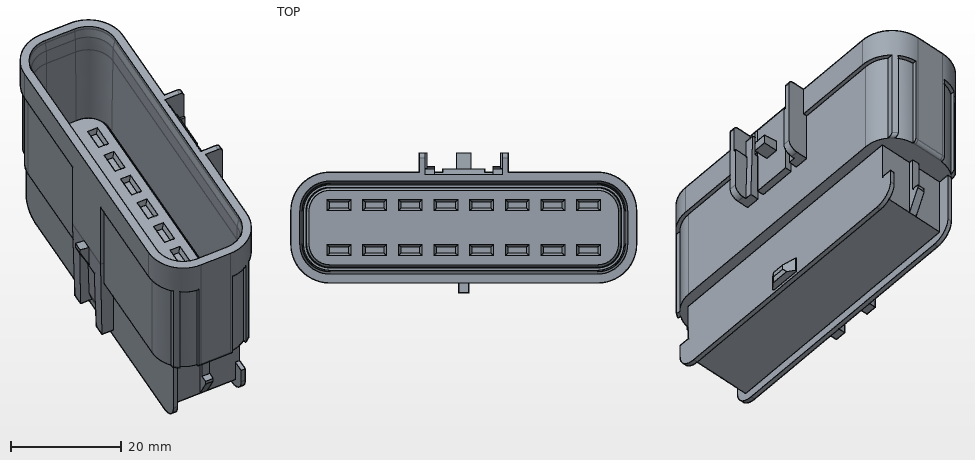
import cadquery as cq


length = 62.8
total_depth = 43.4
collar_width = 20.15
collar_radius = 7.1
collar_depth = 6.6

shell_inset = 0.75
shell_depth = 27.95
shell_front_y = -(collar_width / 2 - shell_inset)

end_panel_width = 6.9
corner_rib_y = 7.2
corner_rib_width = 0.95
rib_end_radius = 0.7

lip_section = (0.0, 1.65)
lip_foot_section = (0.6, 1.7)
lead_in_section = (2.5, 2.0)
draft_start_section = (5.9, 2.1)
wall_foot_section = (25.75, 2.3)
cavity_sections = (lip_section, lip_foot_section, lead_in_section, draft_start_section, wall_foot_section)

island_foot_inset = 2.75
island_shoulder_inset = 2.9
island_top_inset = 3.3
island_height = 2.5
island_chamfer_height = 0.55
island_top_depth = wall_foot_section[0] - island_height

pocket_columns = 8
pocket_pitch = 6.45
pocket_row_y = 4.1
pocket_mouth = (4.35, 2.0)
pocket_floor = (3.4, 1.1)
pocket_depth = 1.0

body_length = 53.25
body_width = 14.75
body_depth = 41.3
plate_length = 57.8
plate_thickness = 0.9
plate_radius = 3.75
rear_plate_top_depth = 36.55

rail_top_width = 11.0
rail_foot_width = 10.7
rail_front_y = -collar_width / 2
rail_taper_depth = 22.2
rail_foot_depth = 41.9
rail_draft = 0.4
recess_top_width = 5.7
recess_foot_width = 6.1
recess_top_depth = 27.4
recess_ceiling_drop = 0.55
recess_floor_top_y = -8.35
recess_floor_foot_y = -8.0
foot_ramp_depth = 39.8

tooth_width = 1.8
tooth_tip_y = -11.9
tooth_tip_top_depth = 22.0
tooth_tip_foot_depth = 23.05
tooth_ramp_foot_depth = 27.0

end_rib_width = 1.6
end_rib_projection = 0.9
end_tooth_depth = 35.75
end_tooth_height = 0.75

guide_back_y = 13.55
guide_outer_x = 8.1
guide_thickness = 1.05
guide_foot_thickness = 1.45
guide_foot_top_depth = collar_depth
guide_depth = 17.95
guide_top_radius = 0.95
guide_foot_radius = 1.9
guide_inner_x = guide_outer_x - guide_thickness

rear_ramp_y = 9.7
pad_width = 7.65
pad_back_y = 10.7
pad_ramp_depth = 1.75
tab_width = 2.65
tab_top_depth = 8.8
tab_drop = 0.45
tab_thickness = 2.5
web_inner_x = 5.3
web_top_back_y = 10.6
web_foot_back_y = 11.05
web_top_depth = 1.9
web_drop = 0.2

nub_base_width = 6.3
nub_tip_width = 2.5
nub_rim = 0.3
nub_back_y = 9.1
nub_top_depth = 39.1
nub_tip_top_depth = 40.7
nub_tip_foot_depth = 41.8
nub_foot_depth = 42.65
nub_foot_bevel = 0.45

overlap = 0.6


def box(x_range, y_range, depth_range):
    """Box between pairs of X and Y limits and a top and bottom depth."""
    (x0, x1), (y0, y1), (top, bottom) = x_range, y_range, depth_range
    return cq.Workplane("XY").box(x1 - x0, y1 - y0, bottom - top, centered=False).translate((x0, y0, -bottom))


def centred(width, middle=0.0):
    """Pair of limits that lie evenly about a middle."""
    return (middle - width / 2, middle + width / 2)


def outline(inset, depth):
    """Rounded-rectangle face that follows the collar at an inset, at a depth."""
    sketch = (
        cq.Sketch()
        .rect(length - 2 * inset, collar_width - 2 * inset)
        .vertices()
        .fillet(collar_radius - inset)
    )
    return cq.Workplane("XY").workplane(offset=-depth).placeSketch(sketch)


def prism(inset, top, bottom):
    """Straight block with the collar's outline at an inset."""
    return outline(inset, bottom).extrude(bottom - top)


def taper(upper, lower):
    """Block whose outline changes evenly between two (depth, inset) sections."""
    (top, top_inset), (bottom, bottom_inset) = upper, lower
    upper_wire = outline(top_inset, top).extrude(0.6).faces("<Z").wires().val()
    lower_wire = outline(bottom_inset, bottom).extrude(0.6).faces("<Z").wires().val()
    return cq.Workplane(cq.Solid.makeLoft([lower_wire, upper_wire], True))


def side_profile(points, width, middle=0.0):
    """Block with a (Y, depth) profile, evenly wide in X about a middle."""
    profile = [(y, -depth) for y, depth in points]
    block = cq.Workplane("YZ").polyline(profile).close().extrude(width / 2, both=True)
    return block.translate((middle, 0, 0))


def front_profile(points, y_range):
    """Block with an (X, depth) profile between two Y limits."""
    profile = [(x, -depth) for x, depth in points]
    y0, y1 = y_range
    return cq.Workplane("XZ", origin=(0, y1, 0)).polyline(profile).close().extrude(y1 - y0)


def mirrored(shape):
    """A shape joined with its mirror image across X = 0."""
    return shape.union(shape.mirror("YZ"))


def shell():
    """Collar and shell with end panels and corner ribs that round off at their feet."""
    flush = prism(0, 0, shell_depth).faces("<Z").edges().fillet(rib_end_radius)
    x_range = centred(length)
    depth_range = (0, shell_depth)
    ribs = box(x_range, centred(end_panel_width), depth_range)
    for side in (-1, 1):
        ribs = ribs.union(box(x_range, centred(corner_rib_width, side * corner_rib_y), depth_range))
    return prism(0, 0, collar_depth).union(prism(shell_inset, 0, shell_depth)).union(flush.intersect(ribs))


def plate(y_range, top):
    """Upright plate of the lower body with rounded bottom corners."""
    blank = box(centred(plate_length), y_range, (top, total_depth))
    return blank.faces("<Z").edges("|Y").fillet(plate_radius)


def lower_body():
    """Solid lower body between a tall front plate and a short rear plate."""
    half = body_width / 2
    core = box(centred(body_length), centred(body_width), (island_top_depth + overlap, body_depth))
    front = plate((-half, -half + plate_thickness), shell_depth - overlap)
    rear = plate((half - plate_thickness, half), rear_plate_top_depth)
    return core.union(front).union(rear)


def front_rail():
    """Rail down the front, slightly drafted below its upper part, with an open recess."""
    inner_y = -body_width / 2 + overlap
    side = side_profile(
        [
            (inner_y, collar_depth),
            (rail_front_y, collar_depth),
            (rail_front_y, rail_taper_depth),
            (rail_front_y + rail_draft, rail_foot_depth),
            (inner_y, rail_foot_depth),
        ],
        rail_top_width,
    )
    top_half, foot_half = rail_top_width / 2, rail_foot_width / 2
    face = front_profile(
        [
            (-top_half, collar_depth),
            (top_half, collar_depth),
            (top_half, rail_taper_depth),
            (foot_half, rail_foot_depth),
            (-foot_half, rail_foot_depth),
            (-top_half, rail_taper_depth),
        ],
        (rail_front_y, inner_y),
    )
    return side.intersect(face)


def recess():
    """Recess through the foot of the front rail, with a ramp at its foot that ends on the front plate."""
    top_half, foot_half = recess_top_width / 2, recess_foot_width / 2
    plate_y = -body_width / 2
    face = front_profile(
        [
            (-top_half, recess_top_depth),
            (top_half, recess_top_depth),
            (foot_half, rail_foot_depth),
            (-foot_half, rail_foot_depth),
        ],
        (rail_front_y - overlap, plate_y),
    )
    side = side_profile(
        [
            (rail_front_y - overlap, recess_top_depth),
            (rail_front_y, recess_top_depth),
            (recess_floor_top_y, recess_top_depth + recess_ceiling_drop),
            (recess_floor_foot_y, foot_ramp_depth),
            (plate_y, rail_foot_depth),
            (rail_front_y - overlap, rail_foot_depth),
        ],
        recess_foot_width,
    )
    return face.intersect(side)


def front_tooth():
    """Latch tooth on the front rail."""
    root_y = rail_front_y + overlap
    return side_profile(
        [
            (root_y, rail_taper_depth),
            (rail_front_y, rail_taper_depth),
            (tooth_tip_y, tooth_tip_top_depth),
            (tooth_tip_y, tooth_tip_foot_depth),
            (rail_front_y, tooth_ramp_foot_depth),
            (root_y, tooth_ramp_foot_depth),
        ],
        tooth_width,
    )


def end_ribs():
    """Rib down each end of the lower body, ending in a ramped tooth."""
    body_x, tip_x = -body_length / 2, -plate_length / 2
    rib_x = body_x - end_rib_projection
    profile = [
        (body_x + overlap, shell_depth - overlap),
        (rib_x, shell_depth - overlap),
        (rib_x, end_tooth_depth),
        (tip_x, end_tooth_depth),
        (tip_x, end_tooth_depth + end_tooth_height),
        (body_x, body_depth),
        (body_x + overlap, body_depth),
    ]
    return mirrored(front_profile(profile, centred(end_rib_width)))


def guide_walls():
    """Pair of rear guide walls, thicker below the collar, with a web inside each."""
    root_y = -shell_front_y - overlap
    y_range = (root_y, guide_back_y)
    wall = box((-guide_outer_x, -guide_inner_x), y_range, (0, guide_depth))
    foot = box(
        (-guide_outer_x, guide_foot_thickness - guide_outer_x), y_range, (guide_foot_top_depth, guide_depth)
    )
    wall = wall.union(foot)
    wall = wall.faces(">Y").edges(">Z").fillet(guide_top_radius)
    wall = wall.faces(">Y").edges("<Z").fillet(guide_foot_radius)
    web = side_profile(
        [
            (root_y, web_top_depth),
            (rear_ramp_y, web_top_depth),
            (web_top_back_y, web_top_depth + web_drop),
            (web_foot_back_y, guide_depth),
            (root_y, guide_depth),
        ],
        guide_inner_x - web_inner_x,
        -(guide_inner_x + web_inner_x) / 2,
    )
    return mirrored(wall.union(web))


def rear_ramp_cut():
    """Sloping relief of the rear face between the guide walls, cut square above the webs."""
    ramp = side_profile(
        [
            (rear_ramp_y, 0),
            (pad_back_y, pad_ramp_depth),
            (pad_back_y, 0),
        ],
        2 * guide_inner_x,
    )
    notch = box((-guide_inner_x, -web_inner_x), (rear_ramp_y, pad_back_y), (0, web_top_depth + web_drop))
    return ramp.union(mirrored(notch))


def rear_latch():
    """Ramped pad between the guide walls, with a tab standing out from it."""
    root_y = -shell_front_y - overlap
    pad = box(centred(pad_width), (root_y, pad_back_y), (0, guide_depth))
    tab_foot_depth = tab_top_depth + tab_thickness
    tab = side_profile(
        [
            (root_y, tab_top_depth),
            (pad_back_y, tab_top_depth),
            (guide_back_y, tab_top_depth + tab_drop),
            (guide_back_y, tab_foot_depth),
            (root_y, tab_foot_depth),
        ],
        tab_width,
    )
    return pad.union(tab)


def rear_nub():
    """Tapered nub at the foot of the rear plate."""
    base_y = body_width / 2
    root_y = base_y - plate_thickness / 2
    side = side_profile(
        [
            (root_y, nub_top_depth),
            (base_y, nub_top_depth),
            (nub_back_y, nub_tip_top_depth),
            (nub_back_y, nub_tip_foot_depth),
            (nub_back_y - nub_foot_bevel, nub_foot_depth),
            (root_y, nub_foot_depth),
        ],
        nub_base_width,
    )
    base_half, tip_half = nub_base_width / 2, nub_tip_width / 2
    plan = (
        cq.Workplane("XY", origin=(0, 0, -nub_foot_depth))
        .polyline(
            [
                (-base_half, root_y),
                (-base_half, base_y + nub_rim),
                (-tip_half, nub_back_y),
                (tip_half, nub_back_y),
                (base_half, base_y + nub_rim),
                (base_half, root_y),
            ]
        )
        .close()
        .extrude(nub_foot_depth - nub_top_depth)
    )
    return side.intersect(plan)


def cavity():
    """Mating cavity with a lip, a lead-in, drafted walls and a chamfered island in its floor."""
    hollow = taper(cavity_sections[0], cavity_sections[1])
    for upper, lower in zip(cavity_sections[1:], cavity_sections[2:]):
        hollow = hollow.union(taper(upper, lower))
    top = (island_top_depth, island_top_inset)
    shoulder = (island_top_depth + island_chamfer_height, island_shoulder_inset)
    foot = (wall_foot_section[0], island_foot_inset)
    return hollow.cut(taper(top, shoulder)).cut(taper(shoulder, foot))


def terminal_pockets():
    """Two rows of tapered blind pockets in the island."""
    pocket = (
        cq.Workplane("XY", origin=(0, 0, -island_top_depth))
        .rect(*pocket_mouth)
        .workplane(offset=-pocket_depth)
        .rect(*pocket_floor)
        .loft(ruled=True)
        .val()
    )
    return (
        cq.Workplane("XY")
        .rarray(pocket_pitch, 2 * pocket_row_y, pocket_columns, 2)
        .eachpoint(lambda place: pocket.moved(place), combine=False)
    )


result = (
    shell()
    .union(lower_body())
    .union(front_rail())
    .cut(recess())
    .union(front_tooth())
    .union(end_ribs())
    .union(rear_latch())
    .cut(rear_ramp_cut())
    .union(guide_walls())
    .union(rear_nub())
    .cut(cavity())
    .cut(terminal_pockets())
)